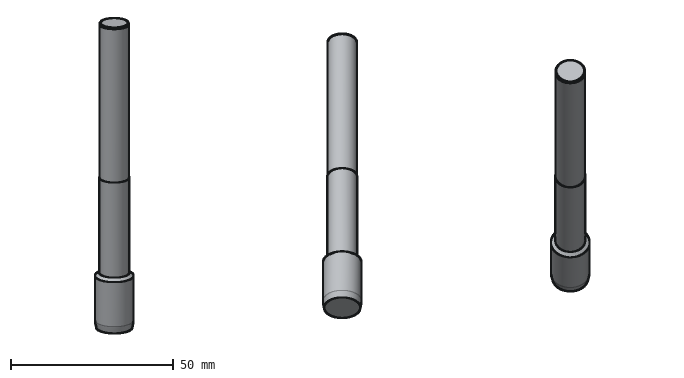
import cadquery as cq

total_length = 100.0

collar_radius = 6.0
collar_foot_radius = 5.6
collar_foot_height = 2.4
collar_foot_bulge = 0.05
collar_top_z = 18.0
collar_slope_height = 1.0
stem_diameter = 9.3
stem_radius = stem_diameter / 2
joint_z = 49.2

rod_radius = 4.6
rod_chamfer_width = 0.3
rod_chamfer_height = 0.5


def make_holder():
    """Revolve the collar, its rounded foot, its sloped shoulder and the stem."""
    foot_middle = (
        (collar_radius + collar_foot_radius) / 2 + collar_foot_bulge,
        collar_foot_height / 2,
    )
    return (
        cq.Workplane("YZ")
        .moveTo(0, 0)
        .lineTo(collar_foot_radius, 0)
        .threePointArc(foot_middle, (collar_radius, collar_foot_height))
        .lineTo(collar_radius, collar_top_z - collar_slope_height)
        .lineTo(stem_radius, collar_top_z)
        .lineTo(stem_radius, joint_z)
        .lineTo(0, joint_z)
        .close()
        .revolve(360, (0, 0), (0, 1))
    )


def make_rod():
    """Revolve a plain cylinder from the joint to the top, chamfered at its free end."""
    return (
        cq.Workplane("YZ")
        .moveTo(0, joint_z)
        .lineTo(rod_radius, joint_z)
        .lineTo(rod_radius, total_length - rod_chamfer_height)
        .lineTo(rod_radius - rod_chamfer_width, total_length)
        .lineTo(0, total_length)
        .close()
        .revolve(360, (0, 0), (0, 1))
    )


holder = make_holder()
rod = make_rod()

result = cq.Compound.makeCompound([holder.val(), rod.val()])